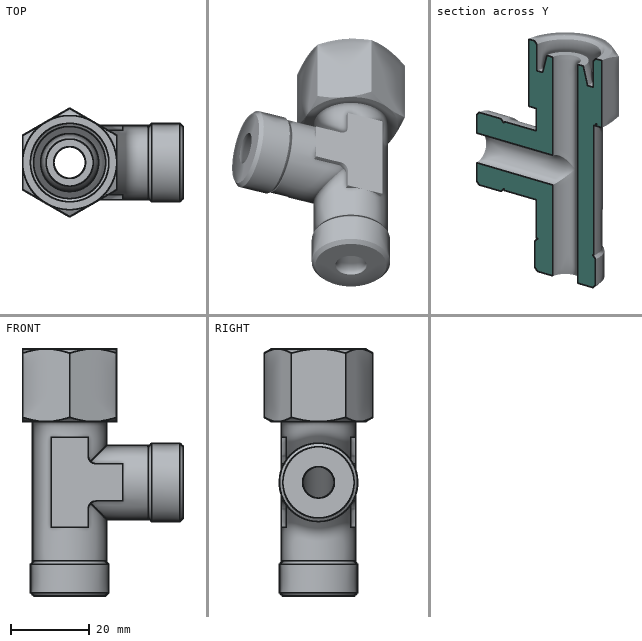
import cadquery as cq
import math

tube_diameter = 19.0
collar_diameter = 20.0
collar_end_diameter = 18.16
collar_length = 9.0
port_reach = 29.0
bore_diameter = 8.0

nut_across_flats = 24.0
nut_top = 34.0
nut_length = 18.5
nut_chamfer_angle = 30.0
nut_bore_diameter = 18.38
nut_mouth_diameter = 20.0

cone_tip_diameter = 12.0
cone_base_diameter = 14.8
cone_tip_height = 31.0
cone_length = 5.0

pad_width = 9.5
pad_height = 23.0
pad_branch_reach = 13.5
pad_corner_radius = 2.0

tube_radius = tube_diameter / 2
collar_radius = collar_diameter / 2
collar_end_radius = collar_end_diameter / 2
collar_start = port_reach - collar_length
collar_chamfer = collar_radius - collar_end_radius
nut_bottom = nut_top - nut_length
nut_across_corners = nut_across_flats / math.cos(math.pi / 6)
cone_base_height = cone_tip_height - cone_length


def spin_about_z(profile):
    """Full revolution about Z of a closed profile drawn in the XZ plane."""
    return profile.revolve(360, (0, 0, 0), (0, 1, 0))


def threaded_port():
    """Tube ending in a collar chamfered at both ends, running up Z from the origin."""
    profile = (
        cq.Workplane("XZ")
        .lineTo(tube_radius, 0)
        .lineTo(tube_radius, collar_start)
        .lineTo(collar_end_radius, collar_start)
        .lineTo(collar_radius, collar_start + collar_chamfer)
        .lineTo(collar_radius, port_reach - collar_chamfer)
        .lineTo(collar_end_radius, port_reach)
        .lineTo(0, port_reach)
        .close()
    )
    return spin_about_z(profile)


def side_pads():
    """T-shaped block whose flat faces on both sides of the junction are level with the tube surface."""
    upright = cq.Workplane("XY").box(pad_width, tube_diameter, pad_height)
    arm = cq.Workplane("XY").box(pad_branch_reach, tube_diameter, pad_width, centered=(False, True, True))
    inner_corners = cq.selectors.BoxSelector(
        (0, -tube_radius, -pad_width),
        (pad_width, tube_radius, pad_width),
    )
    return upright.union(arm).edges("|Y").edges(inner_corners).fillet(pad_corner_radius)


def nut_chamfer_envelope():
    """Double-coned disc that bevels the hexagon corners at both ends."""
    flat_radius = nut_across_flats / 2
    corner_radius = nut_across_corners / 2
    bevel = (corner_radius - flat_radius) * math.tan(math.radians(nut_chamfer_angle))
    profile = (
        cq.Workplane("XZ")
        .moveTo(0, nut_bottom)
        .lineTo(flat_radius, nut_bottom)
        .lineTo(corner_radius, nut_bottom + bevel)
        .lineTo(corner_radius, nut_top - bevel)
        .lineTo(flat_radius, nut_top)
        .lineTo(0, nut_top)
        .close()
    )
    return spin_about_z(profile)


def nut():
    """Hexagonal nut with a flared socket that is open at the top."""
    hexagon = (
        cq.Workplane("XY", origin=(0, 0, nut_bottom))
        .polygon(6, nut_across_corners)
        .extrude(nut_length)
        .rotate((0, 0, 0), (0, 0, 1), 30)
    )
    bore_radius = nut_bore_diameter / 2
    mouth_radius = nut_mouth_diameter / 2
    socket_profile = (
        cq.Workplane("XZ")
        .moveTo(0, cone_base_height)
        .lineTo(bore_radius, cone_base_height)
        .lineTo(bore_radius, nut_top - (mouth_radius - bore_radius))
        .lineTo(mouth_radius, nut_top)
        .lineTo(0, nut_top)
        .close()
    )
    socket = spin_about_z(socket_profile)
    return hexagon.intersect(nut_chamfer_envelope()).cut(socket)


def sealing_cone():
    """Tapered nose standing on the floor of the nut socket."""
    profile = (
        cq.Workplane("XZ")
        .moveTo(0, cone_base_height)
        .lineTo(cone_base_diameter / 2, cone_base_height)
        .lineTo(cone_tip_diameter / 2, cone_tip_height)
        .lineTo(0, cone_tip_height)
        .close()
    )
    return spin_about_z(profile)


def bores():
    """Through bore along the run, met at the origin by the branch bore."""
    bore_radius = bore_diameter / 2
    run = cq.Workplane("XY", origin=(0, 0, -port_reach)).circle(bore_radius).extrude(port_reach + nut_top)
    branch = cq.Workplane("YZ").circle(bore_radius).extrude(port_reach)
    return run.union(branch)


lower_port = threaded_port().rotate((0, 0, 0), (1, 0, 0), 180)
branch_port = threaded_port().rotate((0, 0, 0), (0, 1, 0), 90)
upper_tube = cq.Workplane("XY").circle(tube_radius).extrude(nut_bottom)

body = lower_port.union(branch_port).union(upper_tube).union(side_pads())
result = body.union(nut()).union(sealing_cone()).cut(bores())